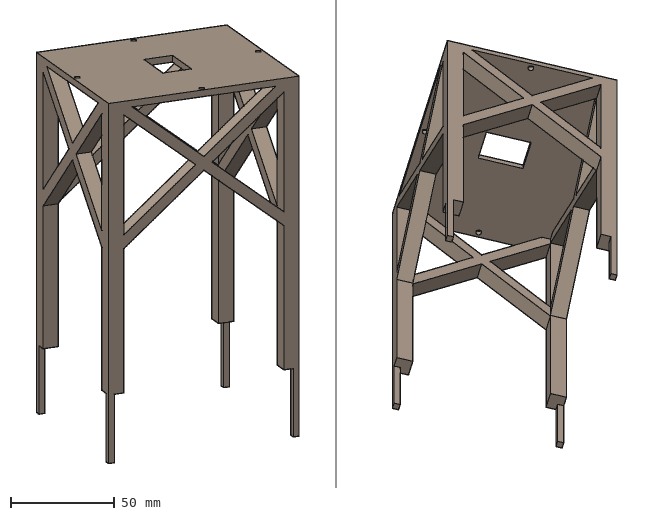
import cadquery as cq
import math

width = 85.2
depth = 101.2
height = 184.0

plate_thickness = 3.5
window_width = 22.5
window_depth = 15.0
hole_diameter = 2.5
hole_inset = 2.5

leg_side = 8.1
foot_side = 3.1
foot_height = 35.0

brace_drop = 68.3
brace_thickness = leg_side
front_brace_width = 6.0
side_brace_width = 5.5

plate_underside = height - plate_thickness
overlap = leg_side / 2


def make_plate():
    plate = cq.Workplane("XY", origin=(0, 0, plate_underside)).box(
        width, depth, plate_thickness, centered=(True, True, False)
    )
    hole_x = width / 2 - hole_inset
    hole_y = depth / 2 - hole_inset
    centres = [(hole_x, 0), (-hole_x, 0), (0, hole_y), (0, -hole_y)]
    plate = plate.faces(">Z").workplane().rect(window_width, window_depth).cutThruAll()
    return plate.faces(">Z").workplane().pushPoints(centres).hole(hole_diameter)


def make_corner_posts(side, bottom, top):
    """Four square posts flush with the outer corners."""
    return (
        cq.Workplane("XY", origin=(0, 0, bottom))
        .rect(width - side, depth - side, forConstruction=True)
        .vertices()
        .rect(side, side)
        .extrude(top - bottom)
    )


def make_cross(span, frame_depth, brace_width):
    """Front and back crosses; span and frame_depth are the outer X and Y sizes."""
    clear_span = span - 2 * leg_side
    angle = math.atan2(brace_drop, clear_span)
    centre_z = plate_underside - brace_drop / 2
    length = math.hypot(clear_span, brace_drop) + 2 * overlap
    offset = (frame_depth - brace_thickness) / 2
    cross = cq.Workplane("XY")
    for side in (-1, 1):
        for tilt in (-1, 1):
            brace = (
                cq.Workplane("XY")
                .box(length, brace_thickness, brace_width)
                .rotate((0, 0, 0), (0, 1, 0), tilt * math.degrees(angle))
                .translate((0, side * offset, centre_z))
            )
            cross = cross.add(brace)
    return cross.combine()


legs = make_corner_posts(leg_side, foot_height, plate_underside)
feet = make_corner_posts(foot_side, 0, foot_height)
front_crosses = make_cross(width, depth, front_brace_width)
side_crosses = make_cross(depth, width, side_brace_width).rotate((0, 0, 0), (0, 0, 1), 90)

below_plate = cq.Workplane("XY").box(width, depth, plate_underside, centered=(True, True, False))
crosses = front_crosses.union(side_crosses).intersect(below_plate)

result = make_plate().union(legs).union(feet).union(crosses).clean()